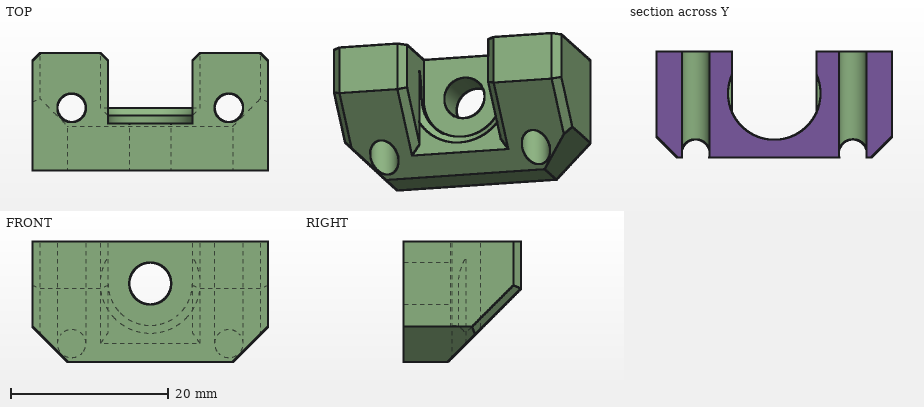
import cadquery as cq

width = 30.0
depth = 15.0
height = 15.35
corner_cut = 4.5
rear_height = 6.0
edge_chamfer = 1.0

gap_width = 10.7
wall_thickness = 8.0
seat_floor = 6.0
seat_lead_in = 1.0

bore_diameter = 5.3
bore_drop = gap_width / 2
screw_diameter = 3.6
screw_spacing = 20.0
screw_y = 8.0


def make_block():
    """Block with cut lower corners and a 45 degree slope under the rear face."""
    half = width / 2
    front_outline = (
        cq.Workplane("XZ")
        .moveTo(-half, 0)
        .lineTo(half, 0)
        .lineTo(half, corner_cut - height)
        .lineTo(half - corner_cut, -height)
        .lineTo(corner_cut - half, -height)
        .lineTo(-half, corner_cut - height)
        .close()
        .extrude(-depth)
    )
    slope = height - rear_height
    side_outline = (
        cq.Workplane("YZ")
        .moveTo(0, 0)
        .lineTo(depth, 0)
        .lineTo(depth, -rear_height)
        .lineTo(depth - slope, -height)
        .lineTo(0, -height)
        .close()
        .extrude(half, both=True)
    )
    return front_outline.intersect(side_outline)


def make_gap():
    """Box that splits the rear of the block into two tabs."""
    return cq.Workplane("XY").box(
        gap_width, depth - wall_thickness, height, centered=(True, False, False)
    ).translate((0, wall_thickness, -height))


def chamfer_tabs(body):
    """Chamfer the upright and sloping side edges of both tabs."""
    upright_edges = body.faces(">Y").edges("|Z")
    slope_edges = body.edges(cq.selectors.ParallelDirSelector(cq.Vector(0, 1, 1)))
    return upright_edges.add(slope_edges).chamfer(edge_chamfer)


def make_seat():
    """Open-topped round seat around the bore, with a conical lead-in."""
    radius = gap_width / 2
    seat_depth = wall_thickness - seat_floor
    floor_plane = cq.Workplane("XZ", origin=(0, seat_floor, -bore_drop))
    round_seat = floor_plane.circle(radius).extrude(-seat_depth)
    lead_in = cq.Workplane("XY").add(
        cq.Solid.makeCone(
            radius,
            radius + seat_lead_in,
            seat_lead_in,
            pnt=cq.Vector(0, wall_thickness - seat_lead_in, -bore_drop),
            dir=cq.Vector(0, 1, 0),
        )
    )
    open_top = cq.Workplane("XY").box(
        gap_width, seat_depth, bore_drop, centered=(True, False, False)
    ).translate((0, seat_floor, -bore_drop))
    return round_seat.union(open_top).union(lead_in)


def make_bore():
    """Bore running from the front face into the seat."""
    return (
        cq.Workplane("XZ", origin=(0, 0, -bore_drop))
        .circle(bore_diameter / 2)
        .extrude(-depth)
    )


def make_screw_holes():
    """Vertical through holes, one in each tab."""
    return (
        cq.Workplane("XY", origin=(0, screw_y, -height))
        .rarray(screw_spacing, 1, 2, 1)
        .circle(screw_diameter / 2)
        .extrude(height)
    )


tabbed_block = chamfer_tabs(make_block().cut(make_gap()))
result = tabbed_block.cut(make_seat()).cut(make_bore()).cut(make_screw_holes())